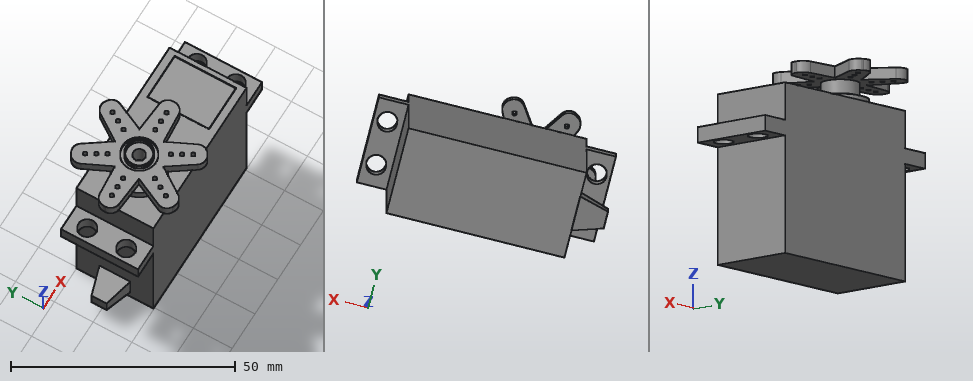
import cadquery as cq
import math

case_length = 40.9
case_width = 19.9
case_height = 38.8

tab_span = 54.45
tab_bottom = 26.7
tab_thickness = 3.55
tab_hole_diameter = 4.5
tab_hole_inset = 3.15
tab_hole_spacing = 10.05

overall_length = 54.65
outlet_length = overall_length - (tab_span + case_length) / 2
outlet_center_z = 4.7
outlet_root_width = 8.0
outlet_root_height = 5.05
outlet_tip_width = 3.95
outlet_tip_height = 3.15

recess_length = 11.9
recess_width = 15.85
recess_end_margin = 1.2
recess_depth = 0.4

axis_inset = 10.65
axis_x = axis_inset - case_length / 2
boss_diameter = 12.9
boss_height = 2.2
shaft_diameter = 5.9
shaft_height = 0.6

horn_bottom = case_height + boss_height + shaft_height
hub_diameter = 8.75
hub_height = 3.1
arm_plane = horn_bottom + hub_height
arm_thickness = 2.6
arm_count = 6
arm_pitch = 360 / arm_count
arm_reach = 15.2
arm_root_radius = 6.25
arm_tip_half_width = 2.35
arm_tip_fillet = 2.35
arm_hole_diameter = 1.0
arm_hole_count = 3
arm_hole_start = 7.05
arm_hole_end = 12.0
arm_hole_pitch = (arm_hole_end - arm_hole_start) / (arm_hole_count - 1)

horn_face = arm_plane + arm_thickness
horn_top = 47.9
groove_diameter = 8.5
groove_depth = 0.75
collar_outer_diameter = 6.7
collar_inner_diameter = 6.25
collar_recess_depth = 1.0
screw_hole_diameter = 3.0


def cylinder(diameter, bottom, top):
    """Vertical cylinder between two heights on the output axis."""
    return cq.Workplane("XY", origin=(axis_x, 0, bottom)).circle(diameter / 2).extrude(top - bottom)


def make_tabs():
    """One slab through the case, with two mounting holes at each end."""
    return (
        cq.Workplane("XY", origin=(0, 0, tab_bottom))
        .rect(tab_span, case_width)
        .extrude(tab_thickness)
        .faces(">Z")
        .workplane()
        .rect(tab_span - 2 * tab_hole_inset, tab_hole_spacing, forConstruction=True)
        .vertices()
        .hole(tab_hole_diameter)
    )


def make_outlet():
    """Cable outlet that narrows away from the case."""
    return (
        cq.Workplane("YZ", origin=(-case_length / 2, 0, outlet_center_z))
        .rect(outlet_root_width, outlet_root_height)
        .workplane(offset=-outlet_length)
        .rect(outlet_tip_width, outlet_tip_height)
        .loft(ruled=True)
    )


def make_servo():
    """Case with tabs, cable outlet, label recess, boss and output shaft."""
    case = cq.Workplane("XY").box(case_length, case_width, case_height, centered=(True, True, False))
    recess_x = case_length / 2 - recess_end_margin - recess_length / 2
    recess = (
        cq.Workplane("XY", origin=(recess_x, 0, case_height))
        .rect(recess_length, recess_width)
        .extrude(-recess_depth)
    )
    boss_top = case_height + boss_height
    boss = cylinder(boss_diameter, case_height, boss_top)
    shaft = cylinder(shaft_diameter, boss_top, horn_bottom)
    return case.union(make_tabs()).union(make_outlet()).cut(recess).union(boss).union(shaft)


def make_arm():
    """Tapered arm along +X, with rounded tip corners and a row of holes."""
    root_x = arm_root_radius * math.cos(math.radians(arm_pitch / 2))
    root_half_width = arm_root_radius * math.sin(math.radians(arm_pitch / 2))
    outline = [
        (0, 0),
        (root_x, -root_half_width),
        (arm_reach, -arm_tip_half_width),
        (arm_reach, arm_tip_half_width),
        (root_x, root_half_width),
    ]
    hole_places = [(arm_hole_start + i * arm_hole_pitch, 0) for i in range(arm_hole_count)]
    holes = cq.Workplane("XY").pushPoints(hole_places).circle(arm_hole_diameter / 2).extrude(arm_thickness)
    return (
        cq.Workplane("XY")
        .polyline(outline)
        .close()
        .extrude(arm_thickness)
        .faces(">X")
        .edges("|Z")
        .fillet(arm_tip_fillet)
        .cut(holes)
    )


def make_horn():
    """Six-armed horn with hub, grooved collar and central screw hole."""
    horn = cylinder(hub_diameter, horn_bottom, horn_face)
    arm = make_arm()
    for i in range(arm_count):
        placed_arm = arm.rotate((0, 0, 0), (0, 0, 1), i * arm_pitch).translate((axis_x, 0, arm_plane))
        horn = horn.union(placed_arm)
    groove = cylinder(groove_diameter, horn_face - groove_depth, horn_face)
    collar = cylinder(collar_outer_diameter, horn_face - groove_depth, horn_top)
    collar_recess = cylinder(collar_inner_diameter, horn_top - collar_recess_depth, horn_top)
    screw_hole = cylinder(screw_hole_diameter, horn_bottom, horn_top)
    return horn.cut(groove).union(collar).cut(collar_recess).cut(screw_hole)


servo = make_servo()
horn = make_horn()

result = cq.Compound.makeCompound([servo.val(), horn.val()])